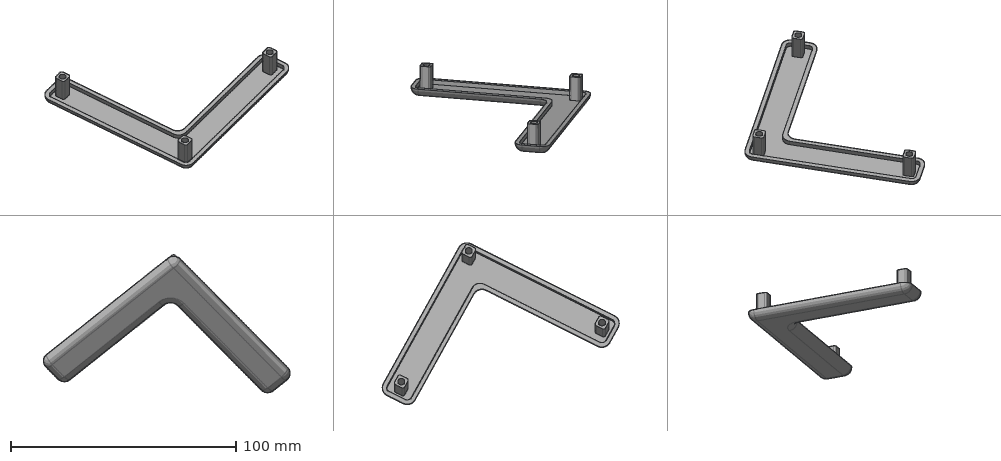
import cadquery as cq

side_length = 80.0
arm_width = 16.0
tray_height = 4.0
corner_radius = 4.0
edge_radius = 3.9

rim_width = 2.0
pocket_depth = 2.0
floor_height = tray_height - pocket_depth
pocket_corner_radius = corner_radius - rim_width
pocket_elbow_radius = 4.0

total_height = 13.0
post_size = 5.0
post_corner_radius = 1.0
bore_diameter = 3.0
post_near_inset = 6.0
post_mid_inset = arm_width / 2
post_centers = [
    (post_near_inset, post_mid_inset),
    (side_length - post_near_inset, post_near_inset),
    (side_length - post_mid_inset, side_length - post_near_inset),
]


def l_block(inset, bottom, height, outer_radius, elbow_radius):
    """L-shaped block with its outline moved inward and its upright edges rounded."""
    low = inset
    high = side_length - inset
    elbow_x = side_length - arm_width + inset
    elbow_y = arm_width - inset
    block = (
        cq.Workplane("XY", origin=(0, 0, bottom))
        .moveTo(low, low)
        .lineTo(high, low)
        .lineTo(high, high)
        .lineTo(elbow_x, high)
        .lineTo(elbow_x, elbow_y)
        .lineTo(low, elbow_y)
        .close()
        .extrude(height)
    )
    elbow = cq.selectors.NearestToPointSelector((elbow_x, elbow_y, bottom + height / 2))
    block = block.edges(elbow).fillet(elbow_radius)
    corners = [(low, low), (high, low), (high, high), (elbow_x, high), (low, elbow_y)]
    for x, y in corners:
        corner = cq.selectors.NearestToPointSelector((x, y, bottom + height / 2))
        block = block.edges(corner).fillet(outer_radius)
    return block


def make_tray():
    """L-shaped tray with a rounded underside and a flat-bottomed pocket."""
    body = l_block(0, 0, tray_height, corner_radius, corner_radius)
    body = body.faces("<Z").edges().fillet(edge_radius)
    pocket = l_block(rim_width, floor_height, pocket_depth, pocket_corner_radius, pocket_elbow_radius)
    return body.cut(pocket)


def make_posts():
    """Rounded square posts, each with a round bore down to the pocket floor."""
    return (
        cq.Workplane("XY", origin=(0, 0, floor_height))
        .pushPoints(post_centers)
        .rect(post_size, post_size)
        .extrude(total_height - floor_height)
        .edges("|Z")
        .fillet(post_corner_radius)
        .faces(">Z")
        .workplane(origin=(0, 0, total_height))
        .pushPoints(post_centers)
        .circle(bore_diameter / 2)
        .cutBlind(floor_height - total_height)
    )


result = make_tray().union(make_posts())